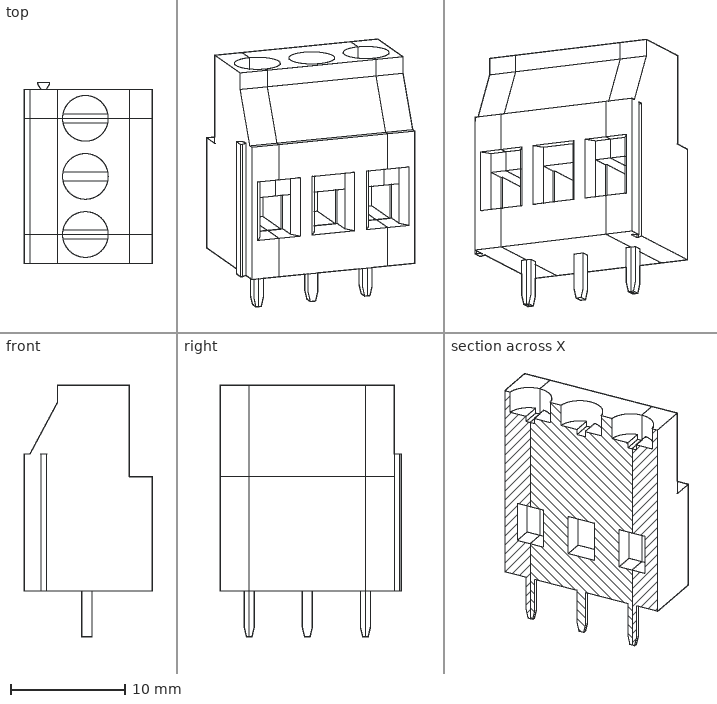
import cadquery as cq


pitch = 5.08
pole_count = 3
block_depth = 11.2
block_height = 18.0
block_length = pole_count * pitch
half_length = block_length / 2
pole_positions = [(i - (pole_count - 1) / 2) * pitch for i in range(pole_count)]
cut_margin = 1.0

front_height = 12.0
front_ledge = 0.5
tower_front = 2.9
tower_back = 9.2
slope_top = 16.5
back_step_height = 10.0

screw_x = 5.35
screw_diameter = 4.0
well_depth = 2.0
drive_slot_width = 0.8
drive_slot_depth = 0.5

entry_floor = 3.5
entry_top = 8.8
entry_width = 4.0
throat_width = 2.85
throat_top = 7.1
funnel_depth = 0.92
throat_end = 2.85
clamp_clearance = 0.15
clamp_floor_drop = 0.03
clamp_end = screw_x + screw_diameter / 2

pin_x = 5.48
pin_width = 0.9
pin_length = 4.0
pin_tip_width = 0.5
pin_taper_length = 0.85

dovetail_x = 1.7
dovetail_neck = 0.5
dovetail_head = 1.05
dovetail_depth = 0.6
dovetail_lip = 0.15


def box_between(x_range, y_range, z_range):
    """Axis-aligned box given by its limits along X, Y and Z."""
    (x0, x1), (y0, y1), (z0, z1) = x_range, y_range, z_range
    return cq.Workplane("XY").box(x1 - x0, y1 - y0, z1 - z0, centered=False).translate((x0, y0, z0))


def block_body():
    """Stepped housing outline with the sloped front, extruded along the row."""
    outline = [
        (0, 0),
        (0, front_height),
        (front_ledge, front_height),
        (tower_front, slope_top),
        (tower_front, block_height),
        (tower_back, block_height),
        (tower_back, back_step_height),
        (block_depth, back_step_height),
        (block_depth, 0),
    ]
    return cq.Workplane("XZ").polyline(outline).close().extrude(half_length, both=True)


def dovetail(side_y):
    """Dovetail bar standing out in +Y from the plane y = side_y, widest at its head."""
    half_neck = dovetail_neck / 2
    half_head = dovetail_head / 2
    lip_y = side_y + dovetail_depth - dovetail_lip
    head_y = side_y + dovetail_depth
    outline = [
        (dovetail_x - half_neck, side_y),
        (dovetail_x - half_head, lip_y),
        (dovetail_x - half_head, head_y),
        (dovetail_x + half_head, head_y),
        (dovetail_x + half_head, lip_y),
        (dovetail_x + half_neck, side_y),
    ]
    return cq.Workplane("XY").polyline(outline).close().extrude(front_height)


def screw_well(y):
    """Round well above the screw head, with the drive slot in its floor."""
    well_floor = block_height - well_depth
    slot_floor = well_floor - drive_slot_depth
    screw_axis = cq.Workplane("XY", origin=(screw_x, y, 0))
    well = screw_axis.workplane(offset=well_floor).circle(screw_diameter / 2).extrude(well_depth)
    slot_bar = screw_axis.workplane(offset=slot_floor).rect(screw_diameter, drive_slot_width)
    slot_bar = slot_bar.extrude(drive_slot_depth)
    screw_head = screw_axis.workplane(offset=slot_floor).circle(screw_diameter / 2)
    slot = slot_bar.intersect(screw_head.extrude(drive_slot_depth))
    return well.union(slot)


def wire_entry(y):
    """Funnel mouth, lower throat behind it and the slightly narrower, deeper clamp opening."""
    half_entry = entry_width / 2
    half_throat = throat_width / 2
    half_clamp = half_throat - clamp_clearance
    funnel_outline = [
        (0, y - half_entry),
        (funnel_depth, y - half_throat),
        (funnel_depth, y + half_throat),
        (0, y + half_entry),
    ]
    funnel = cq.Workplane("XY", origin=(0, 0, entry_floor)).polyline(funnel_outline).close()
    funnel = funnel.extrude(entry_top - entry_floor)
    throat = box_between(
        (funnel_depth, throat_end),
        (y - half_throat, y + half_throat),
        (entry_floor, throat_top),
    )
    clamp = box_between(
        (throat_end, clamp_end),
        (y - half_clamp, y + half_clamp),
        (entry_floor - clamp_floor_drop, throat_top),
    )
    return funnel.union(throat).union(clamp)


def solder_pin(y):
    """Pin below the block, narrowed along Y at its tip."""
    half_width = pin_width / 2
    half_tip = pin_tip_width / 2
    taper_start = pin_taper_length - pin_length
    outline = [
        (y - half_width, 0),
        (y - half_width, taper_start),
        (y - half_tip, -pin_length),
        (y + half_tip, -pin_length),
        (y + half_width, taper_start),
        (y + half_width, 0),
    ]
    pin_side = cq.Workplane("YZ", origin=(pin_x, 0, 0)).polyline(outline).close()
    return pin_side.extrude(half_width, both=True)


def terminal_block():
    """The whole block before it is divided into sections."""
    block = block_body()
    block = block.union(dovetail(half_length))
    block = block.cut(dovetail(-half_length))
    for y in pole_positions:
        block = block.cut(screw_well(y))
        block = block.cut(wire_entry(y))
        block = block.union(solder_pin(y))
    return block


def section(block, y_start, y_end):
    """The slice of the block between two planes across the row."""
    slab = box_between(
        (-cut_margin, block_depth + cut_margin),
        (y_start, y_end),
        (-pin_length - cut_margin, block_height + cut_margin),
    )
    return block.intersect(slab, clean=False)


whole_block = terminal_block()
first_split = pole_positions[0]
last_split = pole_positions[-1]

grooved_end = section(whole_block, -half_length - cut_margin, first_split)
middle_section = section(whole_block, first_split, last_split)
dovetail_end = section(whole_block, last_split, half_length + dovetail_depth + cut_margin)

result = cq.Compound.makeCompound([grooved_end.val(), middle_section.val(), dovetail_end.val()])